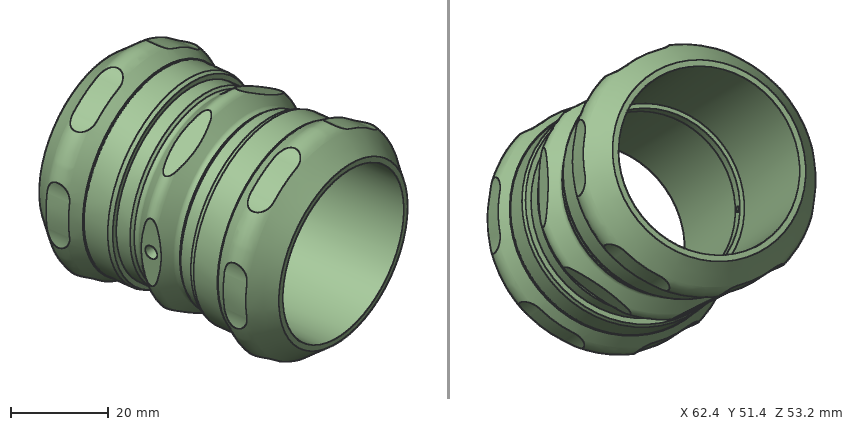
import cadquery as cq
import math

length = 62.4
mid_x = length / 2

nut_mouth_radius = 21.35
nut_crown_radius = 26.615
nut_crown_x = 8.1
crown_round = 5.0
front_cone_angle = math.radians(39.4)
nut_back_x = 13.6
nut_back_radius = 24.2

gap_width = 0.25
gap_depth = 0.3
sleeve_start_x = nut_back_x + gap_width
sleeve_radius = 48.2 / 2
gap_radius = sleeve_radius - gap_depth
sleeve_end_x = 21.0
sleeve_chamfer_length = 1.0
sleeve_chamfer_height = 0.4
body_radius = 45.0 / 2
body_end_x = 24.6
neck_radius = 44.0 / 2
neck_start_x = 25.3

flank_angle = math.radians(41)
ring_crest_radius = 25.35
crest_round = 2.5
root_round = 1.0
ring_flat_distance = 23.9
side_count = 6

notch_floor_radius = 51.35 / 2
notch_floor_half_width = 4.35
notch_end_round = 10.0
notch_end_sweep = math.radians(60)

bore_radius = 40.0 / 2
stop_radius = 38.0 / 2
stop_width = 2.5

hole_mouth_radius = 1.55
hole_inner_radius = 0.55
hole_overrun = 0.3


def round_point(centre_x, crest_radius, round_radius, angle):
    """Point on a rounded crest, angle measured from the crest toward +X."""
    x = centre_x + round_radius * math.sin(angle)
    radius = crest_radius - round_radius * (1 - math.cos(angle))
    return (x, radius)


def crown_start():
    return round_point(nut_crown_x, nut_crown_radius, crown_round, -front_cone_angle)


def crown_end():
    """Point where the line from the nut's back edge is tangent to the crown."""
    centre_radius = nut_crown_radius - crown_round
    dx = nut_back_x - nut_crown_x
    dr = nut_back_radius - centre_radius
    angle = math.atan2(dx, dr) - math.acos(crown_round / math.hypot(dx, dr))
    return round_point(nut_crown_x, nut_crown_radius, crown_round, angle)


def end_body():
    """Nut and stepped body of one end, as far as the neck."""
    profile = (
        cq.Workplane("XY")
        .moveTo(0, 0)
        .lineTo(0, nut_mouth_radius)
        .lineTo(*crown_start())
        .threePointArc((nut_crown_x, nut_crown_radius), crown_end())
        .lineTo(nut_back_x, nut_back_radius)
        .lineTo(nut_back_x, gap_radius)
        .lineTo(sleeve_start_x, gap_radius)
        .lineTo(sleeve_start_x, sleeve_radius)
        .lineTo(sleeve_end_x - sleeve_chamfer_length, sleeve_radius)
        .lineTo(sleeve_end_x, sleeve_radius - sleeve_chamfer_height)
        .lineTo(sleeve_end_x, body_radius)
        .lineTo(body_end_x, body_radius)
        .lineTo(neck_start_x, neck_radius)
        .lineTo(neck_start_x, 0)
        .close()
    )
    return profile.revolve(360, (0, 0, 0), (1, 0, 0))


def centre_body():
    """Neck and unflattened centre ring between the two ends."""
    crest_start = round_point(mid_x, ring_crest_radius, crest_round, -flank_angle)
    corner_x = crest_start[0] - (crest_start[1] - neck_radius) / math.tan(flank_angle)
    tangent_length = root_round * math.tan(flank_angle / 2)
    root_start_x = corner_x - tangent_length
    root_end_x = corner_x + tangent_length * math.cos(flank_angle)
    root_end_radius = neck_radius + tangent_length * math.sin(flank_angle)
    profile = (
        cq.Workplane("XY")
        .moveTo(neck_start_x, 0)
        .lineTo(neck_start_x, neck_radius)
        .lineTo(root_start_x, neck_radius)
        .tangentArcPoint((root_end_x, root_end_radius), relative=False)
        .lineTo(*crest_start)
        .threePointArc((mid_x, ring_crest_radius), (length - crest_start[0], crest_start[1]))
        .lineTo(length - root_end_x, root_end_radius)
        .tangentArcPoint((length - root_start_x, neck_radius), relative=False)
        .lineTo(length - neck_start_x, neck_radius)
        .lineTo(length - neck_start_x, 0)
        .close()
    )
    return profile.revolve(360, (0, 0, 0), (1, 0, 0))


def rod(start_x, end_x, radius):
    return cq.Workplane("YZ").workplane(offset=start_x).circle(radius).extrude(end_x - start_x)


def hex_cutter(start_x, end_x, flat_distance):
    """Everything around a hexagon with two flats facing -Y and +Y."""
    corner_diameter = 2 * flat_distance / math.cos(math.pi / side_count)
    return (
        cq.Workplane("YZ")
        .workplane(offset=start_x)
        .circle(length)
        .extrude(end_x - start_x)
        .cut(
            cq.Workplane("YZ")
            .workplane(offset=start_x)
            .transformed(rotate=(0, 0, 180 / side_count))
            .polygon(side_count, corner_diameter)
            .extrude(end_x - start_x)
        )
    )


def notch_cutter():
    """Notch facing +Y: a floor concentric with the nut and a concave run-out at each end."""
    floor_angle = math.asin(notch_floor_half_width / notch_floor_radius)
    floor_y = notch_floor_radius * math.cos(floor_angle)
    centre_distance = notch_floor_radius + notch_end_round
    exit_angle = notch_end_sweep - floor_angle
    exit_y = centre_distance * math.cos(floor_angle) - notch_end_round * math.cos(exit_angle)
    exit_z = centre_distance * math.sin(floor_angle) + notch_end_round * math.sin(exit_angle)
    return (
        cq.Workplane("YZ")
        .moveTo(floor_y, -notch_floor_half_width)
        .threePointArc((notch_floor_radius, 0), (floor_y, notch_floor_half_width))
        .tangentArcPoint((exit_y, exit_z), relative=False)
        .lineTo(exit_y, -exit_z)
        .radiusArc((floor_y, -notch_floor_half_width), notch_end_round)
        .close()
        .extrude(nut_back_x)
    )


left_end = end_body()

for index in range(side_count):
    angle = index * 360 / side_count
    left_end = left_end.cut(notch_cutter().rotate((0, 0, 0), (1, 0, 0), angle))

right_end = left_end.mirror("YZ", (mid_x, 0, 0))

centre = centre_body().cut(hex_cutter(neck_start_x, length - neck_start_x, ring_flat_distance))

result = centre.union(left_end).union(right_end)

result = result.cut(rod(0, length, stop_radius))
result = result.cut(rod(0, mid_x - stop_width / 2, bore_radius))
result = result.cut(rod(mid_x + stop_width / 2, length, bore_radius))

tapered_hole = cq.Solid.makeCone(
    hole_mouth_radius,
    hole_inner_radius,
    ring_flat_distance - stop_radius + hole_overrun,
    cq.Vector(mid_x, -ring_flat_distance, 0),
    cq.Vector(0, 1, 0),
)
result = result.cut(cq.Workplane(obj=tapered_hole))